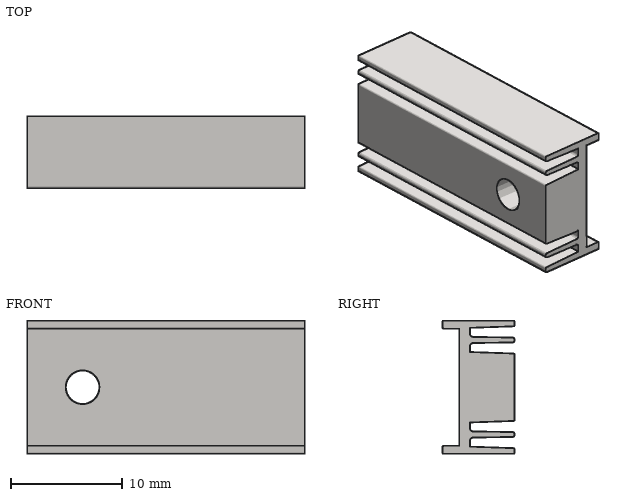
import cadquery as cq
import math

length = 25.0
depth = 6.5
height = 12.0

web_thickness = 1.0
fin_length = 4.0
back_y = depth / 2
web_back_y = back_y - fin_length
web_front_y = web_back_y - web_thickness
lip_front_y = -depth / 2

half_height = height / 2
lip_thickness = 0.75
outer_fin_tip = 0.53
inner_fin_tip = 0.45
inner_fin_z = 4.25
core_half_tip = 3.04

wall_draft = 2.0
inner_fin_draft = 1.0
wall_growth = fin_length * math.tan(math.radians(wall_draft))
inner_fin_growth = fin_length * math.tan(math.radians(inner_fin_draft))
outer_fin_root = outer_fin_tip + wall_growth
inner_fin_root = inner_fin_tip + 2 * inner_fin_growth
core_half_root = core_half_tip + wall_growth

edge_radius = 0.15
fin_tip_radius = 0.22
slot_root_radius = 0.25

pick_tolerance = 0.02

hole_diameter = 3.0
hole_from_end = 5.0
hole_x = -length / 2 + hole_from_end


def body_block():
    """Solid bar with the wide front channel that leaves a lip above and below."""
    block = cq.Workplane("XY").box(length, depth, height)
    channel_depth = web_front_y - lip_front_y
    channel_height = height - 2 * lip_thickness
    channel = cq.Workplane("XY").box(length, channel_depth, channel_height)
    return block.cut(channel.translate((0, lip_front_y + channel_depth / 2, 0)))


def slot(mouth_low, mouth_high, root_low, root_high):
    """Tapered slot that opens at the back face and runs the whole length."""
    return (
        cq.Workplane("YZ")
        .polyline(
            [
                (back_y, mouth_low),
                (back_y, mouth_high),
                (web_back_y, root_high),
                (web_back_y, root_low),
            ]
        )
        .close()
        .extrude(length / 2, both=True)
    )


def fin_slots():
    """The two slots on either side of the upper inner fin."""
    outer_slot = slot(
        inner_fin_z + inner_fin_tip / 2,
        half_height - outer_fin_tip,
        inner_fin_z + inner_fin_root / 2,
        half_height - outer_fin_root,
    )
    inner_slot = slot(
        core_half_tip,
        inner_fin_z - inner_fin_tip / 2,
        core_half_root,
        inner_fin_z - inner_fin_root / 2,
    )
    return outer_slot.union(inner_slot)


def round_long_edges(body, radius, places):
    """Fillet the lengthwise edges at the given (y, z) places and their mirror images in Z."""
    for y, z in places:
        for side in (1, -1):
            corner = cq.selectors.BoxSelector(
                (-length, y - pick_tolerance, side * z - pick_tolerance),
                (length, y + pick_tolerance, side * z + pick_tolerance),
            )
            body = body.edges("|X").edges(corner).fillet(radius)
    return body


def mounting_hole():
    """Round cutter along Y, longer than the section is deep."""
    return (
        cq.Workplane("XZ")
        .center(hole_x, 0)
        .circle(hole_diameter / 2)
        .extrude(depth, both=True)
    )


upper_slots = fin_slots()
result = body_block().cut(upper_slots).cut(upper_slots.mirror("XY"))

lip_edges = [
    (lip_front_y, half_height),
    (lip_front_y, half_height - lip_thickness),
]
outer_fin_edges = [
    (back_y, half_height),
    (back_y, half_height - outer_fin_tip),
]
inner_fin_edges = [
    (back_y, inner_fin_z + inner_fin_tip / 2),
    (back_y, inner_fin_z - inner_fin_tip / 2),
]
core_edges = [(back_y, core_half_tip)]
slot_root_edges = [
    (web_back_y, inner_fin_z + inner_fin_root / 2),
    (web_back_y, inner_fin_z - inner_fin_root / 2),
]
result = round_long_edges(result, edge_radius, lip_edges + outer_fin_edges + core_edges)
result = round_long_edges(result, fin_tip_radius, inner_fin_edges)
result = round_long_edges(result, slot_root_radius, slot_root_edges)

result = result.cut(mounting_hole())